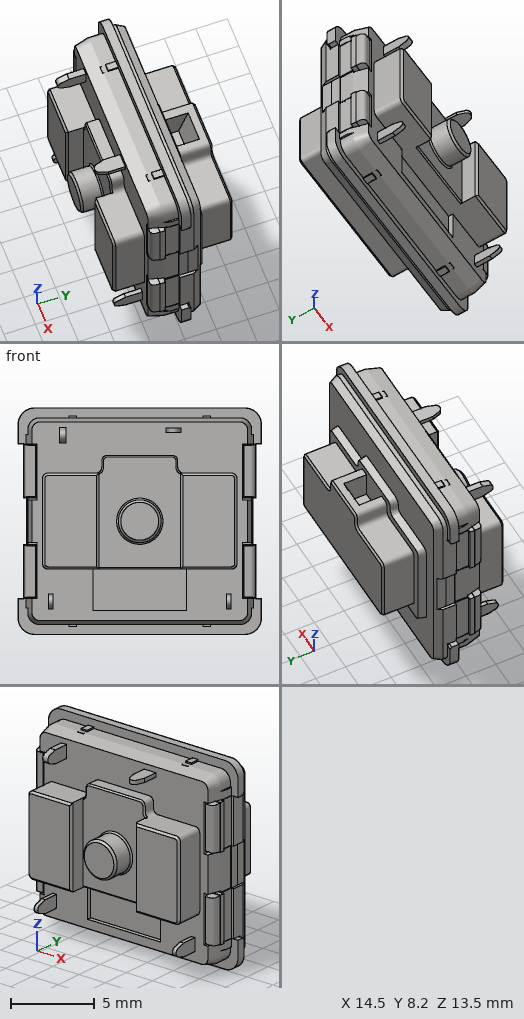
import cadquery as cq
import math

STEM_END_Y = 4.1
COLLAR_END_Y = 1.97
CAP_END_Y = 1.48
CAP_RIM_Y = 0.97
SPLIT_Y = 0.68
FLANGE_FRONT_Y = 0.09
TAPER_START_Y = -0.83
BASE_FRONT_Y = -1.74
SLAB_FRONT_Y = -2.62
BLOCK_FRONT_Y = -3.71
POST_FRONT_Y = -4.1
PIN_TIP_Y = -3.52

FLANGE_WIDTH = 14.5
FLANGE_HEIGHT = 13.5
FLANGE_CORNER = 0.99
FLANGE_END_CHAMFER = 0.12
WALL_WIDTH = 13.34
WALL_HEIGHT = 12.32
WALL_CORNER = 0.72
WALL_INSET = 0.25
PAD_HALF_WIDTH = 6.77
PAD_END_Z = 5.16

CAP_WIDTH = 13.83
CAP_HEIGHT = 12.53
CAP_CORNER = 0.7
CAP_INSET = 0.26
COLLAR_HALF_WIDTH = 5.75
COLLAR_BOTTOM_Z = -3.22
COLLAR_SHOULDER_Z = 3.03
COLLAR_TOP_Z = 3.93
COLLAR_HALF_NECK = 2.16
COLLAR_CORNER = 0.45
COLLAR_INNER_CORNER = 0.3
COLLAR_INSET = 0.13
RECESS_HALF_WIDTH = 6.74
ARM_START_Z = 1.38
ARM_END_Z = 4.61
ARM_INNER_X = 6.12
HOOK_STEP_Y = -1.16
NOSE_FRONT_Y = -1.71
NOSE_CLEARANCE = 0.03
NOSE_DRAFT = 6.0
NOSE_ROUND = 0.29
HOOK_GAP = 0.1

NUB_X = 3.99
NUB_WIDTH = 0.45
NUB_RISE = 0.1
NUB_STEP_Y = -0.57
NUB_END_Y = -0.91

BLOCK_INNER_X = 2.42
BLOCK_OUTER_X = 5.8
BLOCK_BOTTOM_Z = -2.85
BLOCK_TOP_Z = 2.87
BLOCK_CORNER = 0.35
BLOCK_CHAMFER = 0.15
SLAB_TOP_Z = 3.93
SLAB_HALF_NECK = 2.26
SLAB_CHAMFER = 0.1
POST_RADIUS = 1.28
POST_CHAMFER = 0.15
POST_ROOT_CHAMFER = 0.1
LED_POCKET_WIDTH = 5.57
LED_POCKET_BOTTOM_Z = -5.3
LED_POCKET_DEPTH = 0.29

STEM_HALF_WIDTH = 5.09
STEM_BOTTOM_Z = -2.28
STEM_SHOULDER_Z = 2.39
STEM_TOP_Z = 3.41
STEM_HALF_NECK = 1.67
STEM_CORNER = 0.3
STEM_CHAMFER = 0.13
WINDOW_WIDTH = 1.95
WINDOW_END_Y = 3.5
WINDOW_BACK_Y = 2.89
WINDOW_DEPTH = 1.74

PIN_WIDTH = 0.9
PIN_SHOULDER_Y = -2.81
PIN_NECK_Y = -3.25
PIN_NECK_WIDTH = 0.61
THIN_PIN = 0.28
THICK_PIN = 0.4


def taper_angle(inset, length):
    return math.degrees(math.atan2(inset, length))


def plane_at(y):
    """Workplane that faces -Y, with X to the right and Z up."""
    return cq.Workplane("XZ", origin=(0, y, 0))


def box(x_range, y_range, z_range):
    """Box between the lower and upper place on each axis."""
    ranges = (x_range, y_range, z_range)
    sizes = [upper - lower for lower, upper in ranges]
    corner = tuple(lower for lower, upper in ranges)
    return cq.Workplane("XY").box(*sizes, centered=False).translate(corner)


def rounded_plate(width, height, corner, y_back, y_front):
    plate = plane_at(y_back).rect(width, height).extrude(y_back - y_front)
    return plate.edges("|Y").fillet(corner)


def rounded_taper(width, height, corner, y_wide, y_narrow, inset):
    """Rounded rectangle at y_wide that leans in by `inset` on every side up to y_narrow."""
    outline = cq.Sketch().rect(width, height).vertices().fillet(corner)
    length = y_wide - y_narrow
    return plane_at(y_wide).placeSketch(outline).extrude(length, taper=taper_angle(inset, abs(length)))


def stepped_outline(y, half_width, bottom, shoulder, top, half_neck, corner, inner_corner):
    """Wide rectangle with a narrower one on top, all corners rounded."""
    half = (
        plane_at(y)
        .moveTo(0, bottom)
        .lineTo(half_width - corner, bottom)
        .tangentArcPoint((half_width, bottom + corner), relative=False)
        .lineTo(half_width, shoulder - corner)
        .tangentArcPoint((half_width - corner, shoulder), relative=False)
        .lineTo(half_neck + inner_corner, shoulder)
        .tangentArcPoint((half_neck, shoulder + inner_corner), relative=False)
        .lineTo(half_neck, top - corner)
        .tangentArcPoint((half_neck - corner, top), relative=False)
        .lineTo(0, top)
    )
    return half.mirrorY()


def at_both_sides(shape):
    return shape.union(shape.mirror("YZ"))


def at_four_corners(shape):
    both = at_both_sides(shape)
    return both.union(both.mirror("XY"))


def flange():
    plate = rounded_plate(FLANGE_WIDTH, FLANGE_HEIGHT, FLANGE_CORNER, SPLIT_Y, FLANGE_FRONT_Y)
    side_gap = box(
        (RECESS_HALF_WIDTH, FLANGE_WIDTH), (FLANGE_FRONT_Y, SPLIT_Y), (-ARM_END_Z, ARM_END_Z)
    )
    plate = plate.cut(at_both_sides(side_gap))
    end_chamfer = (
        cq.Workplane("YZ", origin=(CAP_WIDTH / 2, 0, 0))
        .moveTo(SPLIT_Y, ARM_END_Z)
        .lineTo(SPLIT_Y - FLANGE_END_CHAMFER, ARM_END_Z)
        .lineTo(SPLIT_Y, ARM_END_Z + FLANGE_END_CHAMFER)
        .close()
        .extrude(FLANGE_WIDTH)
    )
    return plate.cut(at_four_corners(end_chamfer))


def wall():
    straight = rounded_plate(WALL_WIDTH, WALL_HEIGHT, WALL_CORNER, FLANGE_FRONT_Y, TAPER_START_Y)
    leaning = rounded_taper(
        WALL_WIDTH, WALL_HEIGHT, WALL_CORNER, TAPER_START_Y, BASE_FRONT_Y, WALL_INSET
    )
    return straight.union(leaning)


def side_pads():
    """Thickened wall beside each arm; its front runs on in the plane of the leaning wall."""
    wall_x = WALL_WIDTH / 2
    rise = PAD_HALF_WIDTH - wall_x
    pad_front_y = TAPER_START_Y + rise * (TAPER_START_Y - BASE_FRONT_Y) / WALL_INSET
    pad = (
        cq.Workplane("XY", origin=(0, 0, ARM_END_Z))
        .moveTo(ARM_INNER_X, FLANGE_FRONT_Y)
        .lineTo(PAD_HALF_WIDTH, FLANGE_FRONT_Y)
        .lineTo(PAD_HALF_WIDTH, pad_front_y)
        .lineTo(wall_x, TAPER_START_Y)
        .lineTo(ARM_INNER_X, TAPER_START_Y)
        .close()
        .extrude(PAD_END_Z - ARM_END_Z)
    )
    return at_four_corners(pad)


def nubs():
    wall_z = WALL_HEIGHT / 2
    x_range = (NUB_X - NUB_WIDTH / 2, NUB_X + NUB_WIDTH / 2)
    high = box(x_range, (NUB_STEP_Y, FLANGE_FRONT_Y), (wall_z - NUB_RISE, wall_z + NUB_RISE))
    low = box(x_range, (NUB_END_Y, NUB_STEP_Y), (wall_z - NUB_RISE, wall_z))
    return at_four_corners(high.union(low))


def arm_pockets():
    pocket = box(
        (ARM_INNER_X, FLANGE_WIDTH / 2), (BASE_FRONT_Y, SPLIT_Y), (ARM_START_Z, ARM_END_Z)
    )
    gap = box(
        (ARM_INNER_X, FLANGE_WIDTH / 2),
        (BASE_FRONT_Y, TAPER_START_Y),
        (ARM_START_Z - HOOK_GAP, ARM_START_Z),
    )
    return at_four_corners(pocket.union(gap))


def front_outline():
    return stepped_outline(
        BASE_FRONT_Y,
        half_width=BLOCK_OUTER_X,
        bottom=BLOCK_BOTTOM_Z,
        shoulder=BLOCK_TOP_Z,
        top=SLAB_TOP_Z,
        half_neck=SLAB_HALF_NECK,
        corner=BLOCK_CORNER,
        inner_corner=BLOCK_CORNER,
    )


def front_slab():
    return front_outline().extrude(BASE_FRONT_Y - SLAB_FRONT_Y).faces("<Y").chamfer(SLAB_CHAMFER)


def front_blocks():
    """Outer parts of the front outline, carried further forward than the slab."""
    side = box(
        (BLOCK_INNER_X, FLANGE_WIDTH / 2),
        (BLOCK_FRONT_Y, BASE_FRONT_Y),
        (-FLANGE_HEIGHT / 2, FLANGE_HEIGHT / 2),
    )
    block = front_outline().extrude(BASE_FRONT_Y - BLOCK_FRONT_Y).intersect(side)
    return at_both_sides(block.faces("<Y").chamfer(BLOCK_CHAMFER))


def post():
    root = (
        plane_at(SLAB_FRONT_Y)
        .circle(POST_RADIUS + POST_ROOT_CHAMFER)
        .workplane(offset=POST_ROOT_CHAMFER)
        .circle(POST_RADIUS)
        .loft()
    )
    pillar = plane_at(SLAB_FRONT_Y).circle(POST_RADIUS).extrude(SLAB_FRONT_Y - POST_FRONT_Y)
    return pillar.faces("<Y").chamfer(POST_CHAMFER).union(root)


def led_pocket():
    half_width = LED_POCKET_WIDTH / 2
    return box(
        (-half_width, half_width),
        (BASE_FRONT_Y, BASE_FRONT_Y + LED_POCKET_DEPTH),
        (LED_POCKET_BOTTOM_Z, BLOCK_BOTTOM_Z),
    )


def make_base():
    shell = flange().union(wall()).union(side_pads()).union(nubs())
    shell = shell.cut(arm_pockets()).cut(led_pocket())
    return shell.union(front_slab()).union(front_blocks()).union(post())


def arms():
    z_range = (ARM_START_Z, ARM_END_Z)
    outer_x = CAP_WIDTH / 2
    root = box((ARM_INNER_X, outer_x), (FLANGE_FRONT_Y, SPLIT_Y), z_range)
    web = box((ARM_INNER_X, RECESS_HALF_WIDTH), (TAPER_START_Y, FLANGE_FRONT_Y), z_range)
    hook = box((ARM_INNER_X, outer_x), (HOOK_STEP_Y, TAPER_START_Y), z_range)
    nose = (
        plane_at(HOOK_STEP_Y)
        .center((ARM_INNER_X + outer_x) / 2, (ARM_START_Z + ARM_END_Z) / 2)
        .rect(
            outer_x - ARM_INNER_X - 2 * NOSE_CLEARANCE,
            ARM_END_Z - ARM_START_Z - 2 * NOSE_CLEARANCE,
        )
        .extrude(HOOK_STEP_Y - NOSE_FRONT_Y, taper=NOSE_DRAFT)
    )
    nose = nose.faces("<Y").edges(">X").fillet(NOSE_ROUND)
    return at_four_corners(root.union(web).union(hook).union(nose))


def collar():
    outline = stepped_outline(
        CAP_END_Y,
        half_width=COLLAR_HALF_WIDTH,
        bottom=COLLAR_BOTTOM_Z,
        shoulder=COLLAR_SHOULDER_Z,
        top=COLLAR_TOP_Z,
        half_neck=COLLAR_HALF_NECK,
        corner=COLLAR_CORNER,
        inner_corner=COLLAR_INNER_CORNER,
    )
    length = COLLAR_END_Y - CAP_END_Y
    return outline.extrude(-length, taper=taper_angle(COLLAR_INSET, length))


def make_cap():
    rim = rounded_plate(CAP_WIDTH, CAP_HEIGHT, CAP_CORNER, CAP_RIM_Y, SPLIT_Y)
    slope = rounded_taper(CAP_WIDTH, CAP_HEIGHT, CAP_CORNER, CAP_RIM_Y, CAP_END_Y, CAP_INSET)
    side_recess = box(
        (RECESS_HALF_WIDTH, CAP_WIDTH), (SPLIT_Y, CAP_END_Y), (-ARM_START_Z, ARM_START_Z)
    )
    cover = rim.union(slope).cut(at_both_sides(side_recess))
    return cover.union(collar()).union(arms())


def stem_window():
    """Opening in the top side; its rear wall slopes down to the back of the opening."""
    floor_z = STEM_TOP_Z - WINDOW_DEPTH
    return (
        cq.Workplane("YZ", origin=(-WINDOW_WIDTH / 2, 0, 0))
        .moveTo(COLLAR_END_Y, STEM_TOP_Z)
        .lineTo(WINDOW_END_Y, STEM_TOP_Z)
        .lineTo(WINDOW_BACK_Y, floor_z)
        .lineTo(COLLAR_END_Y, floor_z)
        .close()
        .extrude(WINDOW_WIDTH)
    )


def make_stem():
    outline = stepped_outline(
        COLLAR_END_Y,
        half_width=STEM_HALF_WIDTH,
        bottom=STEM_BOTTOM_Z,
        shoulder=STEM_SHOULDER_Z,
        top=STEM_TOP_Z,
        half_neck=STEM_HALF_NECK,
        corner=STEM_CORNER,
        inner_corner=STEM_CORNER,
    )
    body = outline.extrude(COLLAR_END_Y - STEM_END_Y)
    return body.faces(">Y").chamfer(STEM_CHAMFER).cut(stem_window())


def make_pin(x, z, thickness, turn):
    """Flat pin with a rounded tip, its wide side along Z, or along X when turned by 90 degrees."""
    half = PIN_WIDTH / 2
    neck = PIN_NECK_WIDTH / 2
    blade = (
        cq.Workplane("YZ", origin=(-thickness / 2, 0, 0))
        .moveTo(BASE_FRONT_Y, -half)
        .lineTo(PIN_SHOULDER_Y, -half)
        .lineTo(PIN_NECK_Y, -neck)
        .threePointArc((PIN_TIP_Y, 0), (PIN_NECK_Y, neck))
        .lineTo(PIN_SHOULDER_Y, half)
        .lineTo(BASE_FRONT_Y, half)
        .close()
        .extrude(thickness)
    )
    return blade.rotate((0, 0, 0), (0, 1, 0), turn).translate((x, 0, z))


PIN_PLACES = [
    (-4.58, 5.12, THICK_PIN, 0),
    (2.0, 5.41, THIN_PIN, 90),
    (-5.29, -4.77, THIN_PIN, 0),
    (5.29, -4.77, THIN_PIN, 0),
]

base = make_base()
cap = make_cap()
stem = make_stem()
pins = [make_pin(*place) for place in PIN_PLACES]
bodies = [base, cap, stem, *pins]

result = cq.Compound.makeCompound([body.solids().val() for body in bodies])